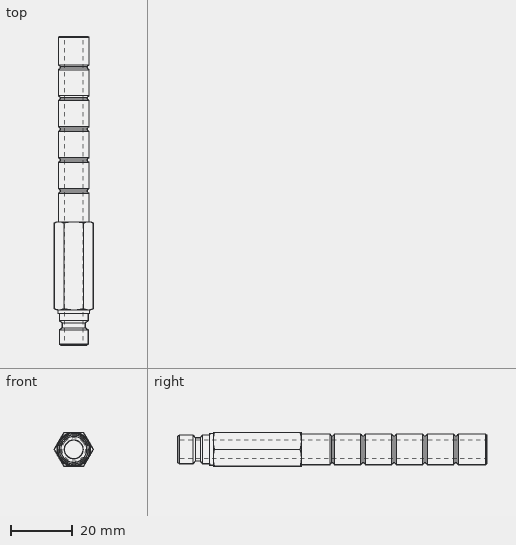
import cadquery as cq
import math

length = 100.0
front_y = -length / 2
back_y = length / 2
bore_diameter = 6.0

rod_diameter = 10.0
rod_length = 60.0
rod_end_chamfer = 0.4
groove_count = 5
groove_pitch = 10.0
groove_width = 1.6
groove_depth = 0.6
groove_flank = 0.5

across_flats = 11.0
across_corners = across_flats / math.cos(math.pi / 6)
hex_length = 28.5
corner_chamfer_diameter = across_flats
corner_chamfer_length = 0.4

collar_diameter = 10.3
collar_length = 1.2
plug_diameter = 9.4
plug_chamfer = 0.5
neck_diameter = 7.6
neck_start = 5.0
neck_width = 3.0
neck_flank = 0.7

hex_back_y = back_y - rod_length
hex_front_y = hex_back_y - hex_length
collar_front_y = hex_front_y - collar_length


def cylinder(diameter, start_y, end_y):
    """Solid cylinder on the Y axis between two Y positions."""
    return cq.Workplane("XZ", origin=(0, end_y, 0)).circle(diameter / 2).extrude(end_y - start_y)


def ring_groove(outer_diameter, floor_diameter, center_y, width, flank):
    """Ring cutter with sloping flanks; width is measured at the outer surface."""
    outer = outer_diameter / 2
    floor = floor_diameter / 2
    half_width = width / 2
    half_floor = half_width - flank
    return (
        cq.Workplane("XY")
        .polyline([
            (outer, center_y - half_width),
            (floor, center_y - half_floor),
            (floor, center_y + half_floor),
            (outer, center_y + half_width),
        ])
        .close()
        .revolve(360, (0, 0, 0), (0, 1, 0))
    )


def make_rod():
    rod = cylinder(rod_diameter, hex_back_y, back_y).faces(">Y").chamfer(rod_end_chamfer)
    floor_diameter = rod_diameter - 2 * groove_depth
    for number in range(1, groove_count + 1):
        center_y = back_y - number * groove_pitch
        rod = rod.cut(ring_groove(rod_diameter, floor_diameter, center_y, groove_width, groove_flank))
    return rod


def make_hex_grip():
    grip = (
        cq.Workplane("XZ", origin=(0, hex_back_y, 0))
        .polygon(6, across_corners)
        .extrude(hex_length)
    )
    envelope = (
        cylinder(across_corners, hex_front_y, hex_back_y)
        .faces("<Y or >Y")
        .chamfer(corner_chamfer_length, (across_corners - corner_chamfer_diameter) / 2)
    )
    return grip.intersect(envelope)


def make_plug():
    collar = cylinder(collar_diameter, collar_front_y, hex_front_y)
    plug = cylinder(plug_diameter, front_y, collar_front_y).faces("<Y").chamfer(plug_chamfer)
    neck_center_y = front_y + neck_start + neck_width / 2
    neck = ring_groove(plug_diameter, neck_diameter, neck_center_y, neck_width, neck_flank)
    return collar.union(plug.cut(neck))


body = make_rod().union(make_hex_grip()).union(make_plug())
result = body.cut(cylinder(bore_diameter, front_y, back_y))